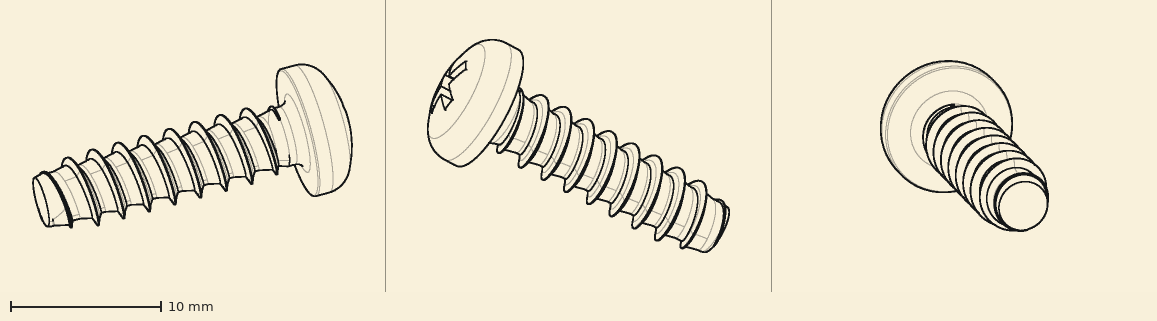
import cadquery as cq
import math


HEAD_RADIUS = 4.4
HEAD_HEIGHT = 3.47
RIM_HEIGHT = 1.03
RIM_EDGE_RADIUS = 0.1
SHOULDER_RADIUS = 1.74
RECESS_WING_WIDTH = 0.97
RECESS_SPAN = 4.2
RECESS_DEPTH = 2.0

LENGTH = 18.0
NECK_RADIUS = 2.0
NECK_FILLET = 0.7
NECK_DEPTH = 1.2
NECK_TAPER_END = 2.0
CORE_RADIUS = 1.75
TIP_RADIUS = 1.69
TIP_TAPER = 0.25
TIP_TAPER_LENGTH = 1.5
TIP_DISH_DEPTH = 0.12

PITCH = 1.8
CREST_RADIUS = 2.5
CREST_HALF_WIDTH = 0.03
CREST_PHASE_DEPTH = 2.24
FLANK_SLOPE = 0.42
FOOT_DROP = 0.45
FOOT_SLOPE = 0.68
RIDGE_DROP = 0.95
RUN_IN_TURNS = 0.75
RUN_IN_START = CREST_PHASE_DEPTH - RUN_IN_TURNS * PITCH
RUN_IN_END = 3.13
RUN_IN_RADIUS = 2.12
RUN_OUT_START = 15.25
RUN_OUT_END = 18.2
RUN_OUT_RADIUS = 1.69

ROOT_PEAK_RADIUS = 1.99
ROOT_SLOPE = 0.22
ROOT_RUN = 1.2
ROOT_BASE_RADIUS = 1.5

POINTS_PER_TURN = 16
POINTS_PER_PATCH = POINTS_PER_TURN // 2


def revolved(outline):
    """Full revolution of a closed half outline about the screw axis."""
    return outline.revolve(360, (0, 0, 0), (0, 1, 0))


def make_head():
    """Domed head: flat seat, short cylindrical rim, rounded shoulder tangent to a spherical crown."""
    shoulder_x = HEAD_RADIUS - SHOULDER_RADIUS
    rise = HEAD_HEIGHT - RIM_HEIGHT
    crown_radius = (shoulder_x**2 + rise**2 - SHOULDER_RADIUS**2) / (2 * (rise - SHOULDER_RADIUS))
    crown_y = HEAD_HEIGHT - crown_radius
    join_angle = math.atan2(RIM_HEIGHT - crown_y, shoulder_x)
    mid_shoulder = join_angle / 2
    mid_crown = (join_angle + math.pi / 2) / 2

    def on_shoulder(angle):
        x = shoulder_x + SHOULDER_RADIUS * math.cos(angle)
        y = RIM_HEIGHT + SHOULDER_RADIUS * math.sin(angle)
        return (x, y)

    def on_crown(angle):
        return (crown_radius * math.cos(angle), crown_y + crown_radius * math.sin(angle))

    outline = (
        cq.Workplane("XY")
        .lineTo(HEAD_RADIUS - RIM_EDGE_RADIUS, 0)
        .radiusArc((HEAD_RADIUS, RIM_EDGE_RADIUS), -RIM_EDGE_RADIUS)
        .lineTo(HEAD_RADIUS, RIM_HEIGHT)
        .threePointArc(on_shoulder(mid_shoulder), on_shoulder(join_angle))
        .threePointArc(on_crown(mid_crown), (0, HEAD_HEIGHT))
        .close()
    )
    return revolved(outline)


def make_recess():
    """Cross recess cutter: two crossed wings sunk from the crown."""
    wing_x = cq.Workplane("XY").box(RECESS_SPAN, 2 * RECESS_DEPTH, RECESS_WING_WIDTH)
    wing_z = cq.Workplane("XY").box(RECESS_WING_WIDTH, 2 * RECESS_DEPTH, RECESS_SPAN)
    return wing_x.union(wing_z).translate((0, HEAD_HEIGHT, 0))


def make_core():
    """Neck with its fillet under the head, tapering to the plain thread core."""
    outline = (
        cq.Workplane("XY")
        .lineTo(NECK_RADIUS + NECK_FILLET, 0)
        .radiusArc((NECK_RADIUS, -NECK_FILLET), -NECK_FILLET)
        .lineTo(NECK_RADIUS, -NECK_DEPTH)
        .lineTo(CORE_RADIUS, -NECK_TAPER_END)
        .lineTo(CORE_RADIUS, -LENGTH)
        .lineTo(0, -LENGTH)
        .close()
    )
    return revolved(outline)


def make_tip_trim():
    """Ring cutter that leaves a slight cone on the last stretch of the core."""
    wide_radius = TIP_RADIUS + TIP_TAPER * TIP_TAPER_LENGTH
    ring = (
        cq.Workplane("XY")
        .moveTo(TIP_RADIUS, -LENGTH)
        .lineTo(wide_radius, TIP_TAPER_LENGTH - LENGTH)
        .lineTo(HEAD_RADIUS, TIP_TAPER_LENGTH - LENGTH)
        .lineTo(HEAD_RADIUS, -LENGTH)
        .close()
    )
    return revolved(ring)


def make_tip_dish():
    """Shallow conical hollow in the end face."""
    outline = cq.Workplane("XY").polyline(
        [(0, -LENGTH), (TIP_RADIUS, -LENGTH), (0, TIP_DISH_DEPTH - LENGTH)]
    )
    return revolved(outline.close())


def crest_radius(depth):
    """Crest radius along the screw, rising at the run-in and sinking at the run-out."""
    run_in = (RUN_IN_END - depth) / (RUN_IN_END - RUN_IN_START)
    run_out = (depth - RUN_OUT_START) / (RUN_OUT_END - RUN_OUT_START)
    if run_in > 0:
        return CREST_RADIUS - run_in * (CREST_RADIUS - RUN_IN_RADIUS)
    if run_out > 0:
        return CREST_RADIUS - run_out * (CREST_RADIUS - RUN_OUT_RADIUS)
    return CREST_RADIUS


def ridge_profile(depth):
    """Thread section as (axial offset toward the tip, radius) corners; it levels off at the neck."""
    crest = crest_radius(depth)
    foot_offset = CREST_HALF_WIDTH + FLANK_SLOPE * FOOT_DROP
    base_offset = foot_offset + FOOT_SLOPE * (RIDGE_DROP - FOOT_DROP)
    corners = [
        (-base_offset, crest - RIDGE_DROP),
        (-foot_offset, crest - FOOT_DROP),
        (-CREST_HALF_WIDTH, crest),
        (CREST_HALF_WIDTH, crest),
        (CREST_HALF_WIDTH + FLANK_SLOPE * RIDGE_DROP, crest - RIDGE_DROP),
    ]
    level_off = max(0, NECK_DEPTH - depth)
    return [(offset + level_off, radius) for offset, radius in corners]


def root_profile(depth):
    """Section of the sloped root; it is the same at every depth."""
    return [
        (0, ROOT_BASE_RADIUS),
        (0, ROOT_PEAK_RADIUS),
        (ROOT_RUN, ROOT_PEAK_RADIUS - ROOT_SLOPE * ROOT_RUN),
        (ROOT_RUN, ROOT_BASE_RADIUS),
    ]


def helical_solid(profile):
    """Solid swept by a section winding round the screw, with ruled faces between its corner curves."""
    steps = round((RUN_OUT_END - RUN_IN_START) / PITCH * POINTS_PER_TURN)
    sections = []
    for i in range(steps + 1):
        depth = RUN_IN_START + (RUN_OUT_END - RUN_IN_START) * i / steps
        angle = 2 * math.pi * (depth - CREST_PHASE_DEPTH) / PITCH
        sections.append([
            cq.Vector(radius * math.cos(angle), -(depth + offset), radius * math.sin(angle))
            for offset, radius in profile(depth)
        ])
    faces = []
    for start in range(0, steps, POINTS_PER_PATCH):
        patch = sections[start:start + POINTS_PER_PATCH + 1]
        curves = [cq.Edge.makeSpline(list(corner)) for corner in zip(*patch)]
        for k, curve in enumerate(curves):
            faces.append(cq.Face.makeRuledSurface(curve, curves[(k + 1) % len(curves)]))
    for end in (sections[0], sections[-1]):
        faces.append(cq.Face.makeFromWires(cq.Wire.makePolygon(end, close=True)))
    return cq.Workplane(obj=cq.Solid.makeSolid(cq.Shell.makeShell(faces)))


def make_thread_zone():
    """Cylinder that bounds the thread between the neck and the end face."""
    zone = cq.Workplane("XZ", origin=(0, -NECK_DEPTH, 0)).circle(HEAD_RADIUS)
    return zone.extrude(LENGTH - NECK_DEPTH)


thread_zone = make_thread_zone()
root = helical_solid(root_profile).intersect(thread_zone, clean=False)
ridge = helical_solid(ridge_profile).intersect(thread_zone, clean=False)

rooted_core = make_core().union(root, clean=False).cut(make_tip_trim(), clean=False)
shank = rooted_core.union(ridge, clean=False)
head = make_head().cut(make_recess())
result = head.union(shank, clean=False).cut(make_tip_dish(), clean=False).solids()